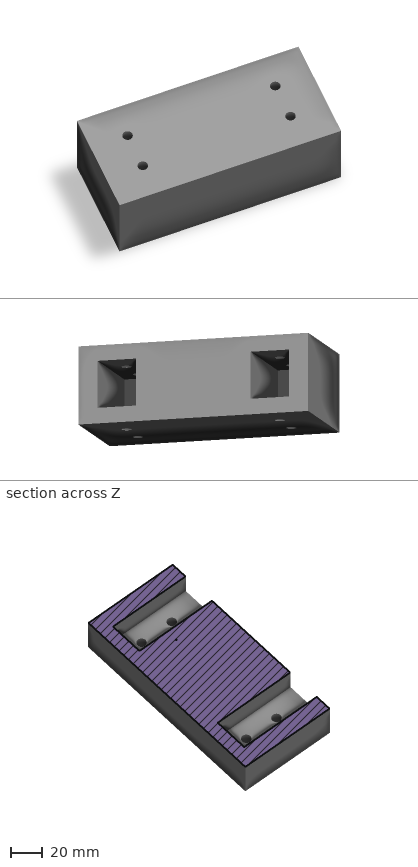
import cadquery as cq

length = 150.0
width = 70.0
height = 50.0

pocket_width = length / 6
pocket_height = 30.0
wall = (height - pocket_height) / 2
pocket_depth = width - wall
pocket_spacing = length * 2 / 3

hole_diameter = 6.6
hole_spacing_x = 25.0


def make_block():
    return cq.Workplane("XY").box(width, length, height)


def make_pockets():
    """Blind pockets that leave one wall thickness at the +X side."""
    return (
        cq.Workplane("XY")
        .rarray(1.5, pocket_spacing, 1, 2)
        .box(pocket_depth, pocket_width, pocket_height)
        .translate((-wall / 2, 0, 0))
    )


def make_bolt_holes():
    """Four cylinders running the full height of the block."""
    return (
        cq.Workplane("XY")
        .workplane(offset=-height / 2)
        .rarray(hole_spacing_x, pocket_spacing, 2, 2)
        .circle(hole_diameter / 2)
        .extrude(height)
    )


result = make_block().cut(make_pockets()).cut(make_bolt_holes())